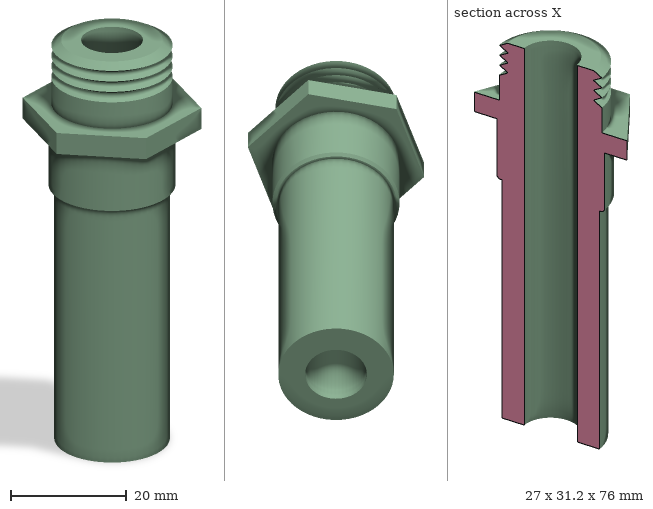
import cadquery as cq
import math

total_length = 76.0

tube_diameter = 20.0
collar_diameter = 22.0
thread_diameter = 21.0
bore_diameter = 10.7

hex_across_flats = 27.0
hex_height = 4.0
hex_side_count = 6

tube_length = 48.0
collar_length = 12.0
collar_chamfer = 0.5

thread_pitch = 2.0
thread_ring_count = 3
thread_flank_angle = 60.0

tube_radius = tube_diameter / 2
collar_radius = collar_diameter / 2
crest_radius = thread_diameter / 2
half_pitch = thread_pitch / 2
root_radius = crest_radius - half_pitch * math.tan(math.radians(thread_flank_angle))
hex_bottom = tube_length + collar_length
hex_top = hex_bottom + hex_height
thread_bottom = total_length - half_pitch - thread_ring_count * thread_pitch


def make_tube():
    return cq.Workplane("XY").circle(tube_radius).extrude(tube_length)


def make_collar():
    collar = cq.Workplane("XY").workplane(offset=tube_length).circle(collar_radius).extrude(collar_length)
    return collar.faces("<Z").chamfer(collar_chamfer)


def make_hex_flange():
    half_side_angle = 180 / hex_side_count
    across_corners = hex_across_flats / math.cos(math.radians(half_side_angle))
    base = cq.Workplane("XY").workplane(offset=hex_bottom)
    flange = base.polygon(hex_side_count, across_corners).extrude(hex_height)
    return flange.rotate((0, 0, 0), (0, 0, 1), half_side_angle)


def make_threaded_end():
    """Revolve the plain neck and the V grooves above it, ending at a root on the top face."""
    profile = cq.Workplane("XZ").moveTo(0, hex_top).lineTo(crest_radius, hex_top)
    profile = profile.lineTo(crest_radius, thread_bottom)
    for ring in range(thread_ring_count):
        groove_height = thread_bottom + half_pitch + ring * thread_pitch
        profile = profile.lineTo(root_radius, groove_height)
        profile = profile.lineTo(crest_radius, groove_height + half_pitch)
    profile = profile.lineTo(root_radius, total_length).lineTo(0, total_length).close()
    return profile.revolve(360, (0, 0, 0), (0, 1, 0))


def make_bore():
    return cq.Workplane("XY").circle(bore_diameter / 2).extrude(total_length)


body = make_tube().union(make_collar()).union(make_hex_flange()).union(make_threaded_end())
result = body.cut(make_bore())